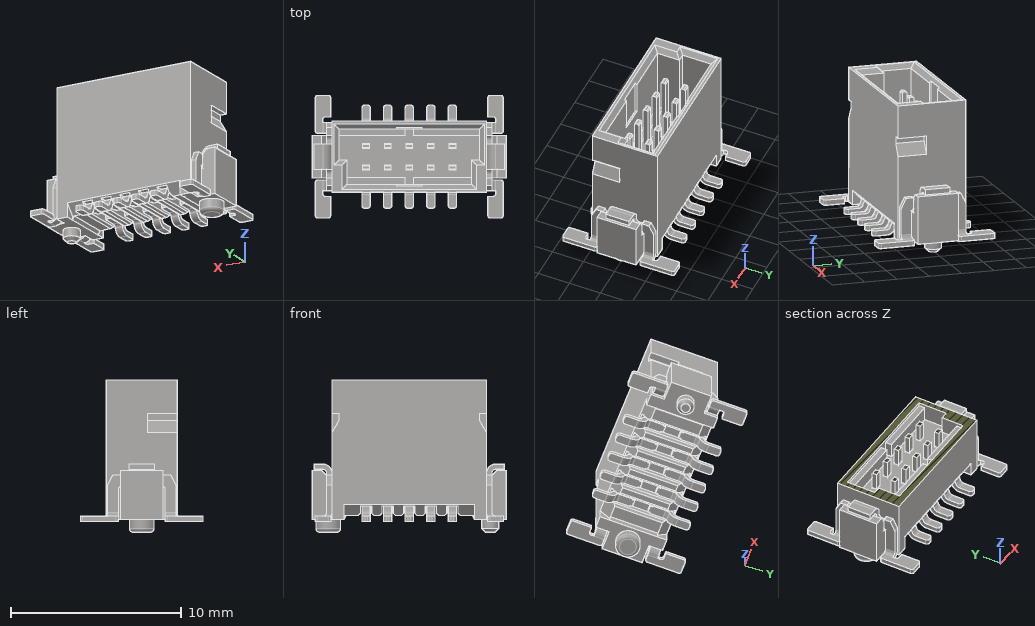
import cadquery as cq
import math


HOUSING_X = 9.07
HOUSING_Y = 4.2
HOUSING_TOP = 8.31
HOUSING_BOTTOM = 0.11
SIDE_WALL = HOUSING_X / 2

CAVITY_X = 8.25
CAVITY_Y = 3.24
KEYED_X = 7.32
KEY_STEP_Y = -0.2
CAVITY_FLOOR = 2.74
RIM_CHAMFER = 0.3
LEDGE_DEPTH = 0.39
LEDGE_TOP = 3.65
LEDGE_GAP = 0.52
WALL_RECESS_X = 1.48
WALL_RECESS_DEPTH = 0.1
WALL_RECESS_BOTTOM = 5.84

NOTCH_DEPTH = 0.41
NOTCH_BACK_Y = -0.34
NOTCH_TOP = 6.33
NOTCH_FLAT_BOTTOM = 5.93
NOTCH_BOTTOM = 5.22

UNDERSIDE_X = 7.66
UNDERSIDE_Z = 0.35
UNDERSIDE_FLAT_Y = 2.99
WALL_EDGE_Z = 1.0
FOOT_CHAMFER = 0.13
SLOT_WIDTH = 0.64
SLOT_MOUTH = 0.14

EAR_OUTER_X = 5.7
EAR_WIDTH = 2.51
EAR_TOP = 3.01
EAR_CHAMFER = 0.28
NECK_TOP = 1.82
PEG_X = 4.75
PEG_TIP = -0.64
LEFT_PEG_DIAMETER = 1.45
RIGHT_PEG_DIAMETER = 1.0
PEG_TIP_ROUNDING = 0.23

METAL = 0.32
BEND_INNER = 0.2
BEND_OUTER = BEND_INNER + METAL

PITCH = 1.27
COLUMNS = 5
POST_X = 0.4
POST_Y = 0.3
POST_TOP = 7.15
POST_CHAMFER = 0.07
TAIL_WIDTH = 0.5
TAIL_TIP_Y = 3.03
TAIL_FOOT_Y = 2.21
TAIL_TIP_FILLET = 0.17
TAIL_BEND_INNER = 0.24
TAIL_BEND_OUTER = TAIL_BEND_INNER + METAL
TAIL_SLOPE = math.radians(75)
TAIL_RISE = (TAIL_BEND_INNER + TAIL_BEND_OUTER) * (1 - math.cos(TAIL_SLOPE))
TAIL_TOP = TAIL_RISE + METAL
RAIL_BOTTOM = 2.14

PLATE_OUTER_X = SIDE_WALL + METAL
PLATE_WIDTH = 4.01
PLATE_TOP = 2.74
PLATE_TOP_WIDTH = 3.4
PLATE_SHOULDER_Z = 2.14
SHOULDER_RADIUS = 0.15
CUTOUT_WIDTH = 2.74
CUTOUT_TOP = 2.07
CUTOUT_CHAMFER = 0.11
TAB_WIDTH = 1.5
TAB_END_X = 5.59
TAB_TOP = 3.37
RELIEF_WIDTH = 0.5
RELIEF_DEPTH = RELIEF_WIDTH / 2
FOOT_INNER_X = 4.6
FOOT_OUTER_X = 5.52
FOOT_END_Y = 3.6
FOOT_FILLET = 0.14
FOOT_RELIEF_WIDTH = 0.32
FOOT_RELIEF_X = 5.07


def block(x0, x1, y0, y1, z0, z1):
    """A box given by its limits along each axis."""
    return cq.Workplane("XY").box(x1 - x0, y1 - y0, z1 - z0, centered=False).translate((x0, y0, z0))


def prism_y(outline, y0, y1):
    """Extrude a closed outline of (x, z) points from y0 to y1."""
    return cq.Workplane("XZ", origin=(0, y0, 0)).polyline(outline).close().extrude(y0 - y1)


def prism_x(outline, x0, x1):
    """Extrude a closed outline of (y, z) points from x0 to x1."""
    return cq.Workplane("YZ", origin=(x0, 0, 0)).polyline(outline).close().extrude(x1 - x0)


def on_side(shape, side):
    """A shape built on the right (+X), mirrored to the left when side is -1."""
    return shape if side > 0 else shape.mirror("YZ")


def on_row(shape, row):
    """A shape built on the back (+Y), mirrored to the front when row is -1."""
    return shape if row > 0 else shape.mirror("XZ")




def cavity_outline(offset):
    """T-shaped cavity outline, grown outwards by offset."""
    wide = CAVITY_X / 2 + offset
    keyed = KEYED_X / 2 + offset
    depth = CAVITY_Y / 2 + offset
    step = KEY_STEP_Y - offset
    return [
        (-keyed, -depth), (keyed, -depth), (keyed, step), (wide, step),
        (wide, depth), (-wide, depth), (-wide, step), (-keyed, step),
    ]


def cavity():
    pocket = (
        cq.Workplane("XY", origin=(0, 0, CAVITY_FLOOR))
        .polyline(cavity_outline(0)).close()
        .extrude(HOUSING_TOP - CAVITY_FLOOR)
    )
    rim = (
        cq.Workplane("XY", origin=(0, 0, HOUSING_TOP - RIM_CHAMFER))
        .polyline(cavity_outline(0)).close()
        .workplane(offset=RIM_CHAMFER)
        .polyline(cavity_outline(RIM_CHAMFER)).close()
        .loft(ruled=True)
    )
    recess_y = CAVITY_Y / 2 + WALL_RECESS_DEPTH
    recess_x = WALL_RECESS_X / 2
    recesses = block(-recess_x, recess_x, -recess_y, recess_y, WALL_RECESS_BOTTOM, HOUSING_TOP)
    return pocket.union(rim).union(recesses)


def ledges():
    """Low ledges along the long walls, each with a gap in its middle."""
    outer = CAVITY_Y / 2
    rails = cq.Workplane("XY")
    for row in (-1, 1):
        half_length = (KEYED_X if row < 0 else CAVITY_X) / 2
        for side in (-1, 1):
            ledge = block(LEDGE_GAP / 2, half_length, outer - LEDGE_DEPTH, outer, CAVITY_FLOOR, LEDGE_TOP)
            rails = rails.union(on_row(on_side(ledge, side), row))
    return rails


def latch_notch(side):
    inner = SIDE_WALL - NOTCH_DEPTH
    outline = [
        (SIDE_WALL, NOTCH_TOP), (inner, NOTCH_TOP), (inner, NOTCH_FLAT_BOTTOM), (SIDE_WALL, NOTCH_BOTTOM),
    ]
    return on_side(prism_y(outline, -HOUSING_Y / 2, NOTCH_BACK_Y), side)


def underside():
    """Space under the housing between its end feet, sloping up to the long walls."""
    edge_y = HOUSING_Y / 2
    flat_y = UNDERSIDE_FLAT_Y / 2
    half_x = UNDERSIDE_X / 2
    slopes = [
        (-edge_y, HOUSING_BOTTOM), (-edge_y, WALL_EDGE_Z), (-flat_y, UNDERSIDE_Z),
        (flat_y, UNDERSIDE_Z), (edge_y, WALL_EDGE_Z), (edge_y, HOUSING_BOTTOM),
    ]
    space = prism_x(slopes, -half_x, half_x)
    for side in (-1, 1):
        foot_chamfer = [
            (half_x, HOUSING_BOTTOM), (half_x - FOOT_CHAMFER, UNDERSIDE_Z), (half_x, UNDERSIDE_Z),
        ]
        space = space.cut(on_side(prism_y(foot_chamfer, -flat_y, flat_y), side))
    return space


def tail_slot(x):
    """Slot for a pair of contact tails, with a chamfered mouth."""
    half = SLOT_WIDTH / 2
    mouth_z = UNDERSIDE_Z + SLOT_MOUTH
    outline = [
        (x - half - SLOT_MOUTH, UNDERSIDE_Z), (x - half, mouth_z), (x - half, TAIL_TOP),
        (x + half, TAIL_TOP), (x + half, mouth_z), (x + half + SLOT_MOUTH, UNDERSIDE_Z),
    ]
    return prism_y(outline, -HOUSING_Y / 2, HOUSING_Y / 2)


def ear(side):
    """Outer block that backs the bracket, with the neck that joins it to the end wall."""
    half_y = EAR_WIDTH / 2
    outer_block = block(PLATE_OUTER_X, EAR_OUTER_X, -half_y, half_y, HOUSING_BOTTOM, EAR_TOP)
    outer_block = outer_block.edges("<X and >Z").chamfer(EAR_CHAMFER)
    neck = block(SIDE_WALL, PLATE_OUTER_X, -half_y, half_y, HOUSING_BOTTOM, NECK_TOP)
    return on_side(outer_block.union(neck), side)


def peg(side, diameter):
    """Plain cylindrical locating peg under an ear."""
    return (
        cq.Workplane("XY", origin=(side * PEG_X, 0, PEG_TIP))
        .circle(diameter / 2)
        .extrude(HOUSING_BOTTOM - PEG_TIP)
    )


def contact_columns():
    return [(column - (COLUMNS - 1) / 2) * PITCH for column in range(COLUMNS)]


def make_housing():
    body = block(-SIDE_WALL, SIDE_WALL, -HOUSING_Y / 2, HOUSING_Y / 2, HOUSING_BOTTOM, HOUSING_TOP)
    body = body.cut(cavity()).union(ledges()).cut(underside())
    for x in contact_columns():
        body = body.cut(tail_slot(x))
    for side in (-1, 1):
        body = body.cut(latch_notch(side)).union(ear(side))
    left_peg = peg(-1, LEFT_PEG_DIAMETER).faces("<Z").edges().fillet(PEG_TIP_ROUNDING)
    right_peg = peg(1, RIGHT_PEG_DIAMETER).faces("<Z").edges().chamfer(PEG_TIP_ROUNDING)
    return body.union(left_peg).union(right_peg)




def bend_point(center, radius, angle):
    """Point on a tail bend, at an angle measured from straight above its centre."""
    return (center[0] + radius * math.sin(angle), center[1] + radius * math.cos(angle))


def contact(x, row):
    """Upright post with a tail that bends down to a flat foot on the board."""
    post_y = PITCH / 2
    post = (
        block(-POST_X / 2, POST_X / 2, post_y - POST_Y / 2, post_y + POST_Y / 2, TAIL_RISE, POST_TOP)
        .faces(">Z").edges("|X").chamfer(POST_CHAMFER)
    )

    lower = (TAIL_FOOT_Y, TAIL_BEND_OUTER)
    reach = (TAIL_BEND_INNER + TAIL_BEND_OUTER) * math.sin(TAIL_SLOPE)
    upper = (TAIL_FOOT_Y - reach, TAIL_TOP - TAIL_BEND_OUTER)
    half_slope = TAIL_SLOPE / 2
    tail = (
        cq.Workplane("YZ", origin=(-TAIL_WIDTH / 2, 0, 0))
        .moveTo(post_y, TAIL_TOP)
        .lineTo(upper[0], TAIL_TOP)
        .threePointArc(
            bend_point(upper, TAIL_BEND_OUTER, half_slope), bend_point(upper, TAIL_BEND_OUTER, TAIL_SLOPE)
        )
        .threePointArc(bend_point(lower, -TAIL_BEND_INNER, half_slope), (TAIL_FOOT_Y, METAL))
        .lineTo(TAIL_TIP_Y, METAL)
        .lineTo(TAIL_TIP_Y, 0)
        .lineTo(TAIL_FOOT_Y, 0)
        .threePointArc(
            bend_point(lower, -TAIL_BEND_OUTER, half_slope), bend_point(lower, -TAIL_BEND_OUTER, TAIL_SLOPE)
        )
        .threePointArc(bend_point(upper, TAIL_BEND_INNER, half_slope), (upper[0], TAIL_RISE))
        .lineTo(post_y, TAIL_RISE)
        .close()
        .extrude(TAIL_WIDTH)
        .faces(">Y").edges("|Z").fillet(TAIL_TIP_FILLET)
    )
    return on_row(post.union(tail), row).translate((x, 0, 0))


def bend(z_center, upward, y0, y1):
    """Quarter bend from the bracket plate outwards, curving up or down from z_center."""
    center_x = SIDE_WALL + BEND_OUTER
    direction = 1 if upward else -1
    diagonal = math.sqrt(0.5)
    return (
        cq.Workplane("XZ", origin=(0, y0, 0))
        .moveTo(SIDE_WALL, z_center)
        .threePointArc(
            (center_x - BEND_OUTER * diagonal, z_center + direction * BEND_OUTER * diagonal),
            (center_x, z_center + direction * BEND_OUTER),
        )
        .lineTo(center_x, z_center + direction * BEND_INNER)
        .threePointArc(
            (center_x - BEND_INNER * diagonal, z_center + direction * BEND_INNER * diagonal),
            (PLATE_OUTER_X, z_center),
        )
        .close()
        .extrude(y0 - y1)
    )


def bracket_plate():
    """Upright plate on the end wall: two legs, a bridge and the root of the tab."""
    half = PLATE_WIDTH / 2
    half_top = PLATE_TOP_WIDTH / 2
    outline = [
        (-half, BEND_OUTER), (half, BEND_OUTER), (half, PLATE_SHOULDER_Z), (half_top, PLATE_TOP),
        (-half_top, PLATE_TOP), (-half, PLATE_SHOULDER_Z),
    ]
    plate = prism_x(outline, SIDE_WALL, PLATE_OUTER_X)
    for y in (-half, half):
        shoulder = cq.NearestToPointSelector((SIDE_WALL + METAL / 2, y, PLATE_SHOULDER_Z))
        plate = plate.edges(shoulder).fillet(SHOULDER_RADIUS)
    half_cutout = CUTOUT_WIDTH / 2
    cutout = (
        block(SIDE_WALL, PLATE_OUTER_X, -half_cutout, half_cutout, HOUSING_BOTTOM, CUTOUT_TOP)
        .faces(">Z").edges("|X").chamfer(CUTOUT_CHAMFER)
    )
    relief = (
        cq.Workplane("YZ", origin=(SIDE_WALL, 0, 0))
        .center((TAB_WIDTH + RELIEF_WIDTH) / 2, PLATE_TOP)
        .circle(RELIEF_WIDTH / 2)
        .extrude(METAL)
    )
    plate = plate.cut(cutout)
    for row in (-1, 1):
        plate = plate.cut(on_row(relief, row))
    return plate


def bracket_tab():
    """Tab that rises from the plate and bends out over the ear."""
    half = TAB_WIDTH / 2
    bend_z = TAB_TOP - BEND_OUTER
    root = block(SIDE_WALL, PLATE_OUTER_X, -half, half, PLATE_TOP - RELIEF_DEPTH, bend_z)
    flat = block(SIDE_WALL + BEND_OUTER, TAB_END_X, -half, half, TAB_TOP - METAL, TAB_TOP)
    return root.union(bend(bend_z, True, -half, half)).union(flat)


def bracket_foot():
    """Solder foot at the back leg, with a round-ended relief beside the bend."""
    leg_inner = CUTOUT_WIDTH / 2
    leg_outer = PLATE_WIDTH / 2
    bend_x = SIDE_WALL + BEND_OUTER
    pad_y = leg_outer + FOOT_RELIEF_WIDTH
    relief_radius = FOOT_RELIEF_WIDTH / 2
    pad = block(FOOT_INNER_X, FOOT_OUTER_X, pad_y - relief_radius, FOOT_END_Y, 0, METAL)
    arm = block(bend_x, FOOT_OUTER_X, leg_inner, pad_y, 0, METAL)
    relief_x = FOOT_RELIEF_X - relief_radius
    relief = block(FOOT_INNER_X, relief_x, leg_outer, pad_y, 0, METAL).union(
        cq.Workplane("XY").center(relief_x, leg_outer + relief_radius).circle(relief_radius).extrude(METAL)
    )
    foot = arm.union(pad).cut(relief)
    foot = foot.edges("|Z and >Y").fillet(FOOT_FILLET)
    foot = foot.edges("|Z and >X and <Y").fillet(FOOT_FILLET)
    return foot.union(bend(BEND_OUTER, False, leg_inner, leg_outer).cut(relief))


def bracket(side):
    shape = bracket_plate().union(bracket_tab())
    for row in (-1, 1):
        shape = shape.union(on_row(bracket_foot(), row))
    return on_side(shape, side)


def row_rail(row):
    """Bar inside the floor that ties one row of contacts to both brackets."""
    y = row * PITCH / 2
    half = POST_Y / 2
    return block(-SIDE_WALL, SIDE_WALL, y - half, y + half, RAIL_BOTTOM, RAIL_BOTTOM + METAL)


def make_lead_frame():
    frame = bracket(-1).union(bracket(1))
    for row in (-1, 1):
        frame = frame.union(row_rail(row))
        for x in contact_columns():
            frame = frame.union(contact(x, row))
    return frame


lead_frame = make_lead_frame()
housing = make_housing().cut(lead_frame)

result = cq.Compound.makeCompound([housing.solids().val(), lead_frame.solids().val()])